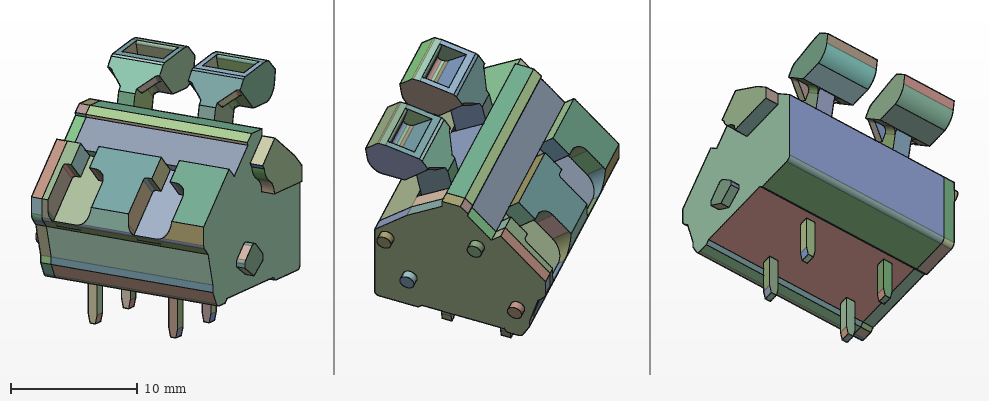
import cadquery as cq
import math


pole_count = 2
pitch = 7.5
first_pole_x = 3.18
cover_thickness = 1.0
housing_length = 15.05
housing_end_x = cover_thickness + housing_length
pole_centres = [first_pole_x + i * pitch for i in range(pole_count)]

depth = 14.53
top_z = 13.0
foot_height = 0.3
rear_foot_y = 10.82
front_foot_y = 3.22
nose_top = 7.1
nose_bottom = 5.39
ridge_rise = 3.82
ridge_z = nose_top + ridge_rise
groove_step = 0.78
groove_y = ridge_rise + groove_step
groove_z = ridge_z - groove_step
lip_z = 12.18
lip_y = groove_y + lip_z - groove_z
lip_overhang = 0.06
lip_height = 0.25
top_front_y = 7.25
top_rear_y = 8.81
shoulder_z = 12.43
knee_y = 11.79
knee_z = 10.24
back_top_z = 7.55
corner_radius = 0.41
shin_y = 1.38
shin_bottom_z = 1.35
shin_top_z = 1.96
undercut_y = 0.66
undercut_z = 4.66
toe_y = 2.05
toe_radius = 0.52
housing_nose_radius = 0.41
cover_nose_radius = 0.9


def block_profile(x_start, length, nose_radius):
    """Extrude the side outline along X and round its lower corners and nose."""
    outline = [
        (depth, 0),
        (rear_foot_y, 0),
        (rear_foot_y - foot_height, foot_height),
        (front_foot_y + foot_height, foot_height),
        (front_foot_y, 0),
        (toe_y, 0),
        (shin_y, shin_bottom_z),
        (shin_y, shin_top_z),
        (undercut_y, undercut_z),
        (0, nose_bottom),
        (0, nose_top),
        (ridge_rise, ridge_z),
        (groove_y, groove_z),
        (lip_y, lip_z),
        (lip_y - lip_overhang, lip_z + lip_height),
        (top_front_y, top_z),
        (top_rear_y, top_z),
        (top_rear_y, shoulder_z),
        (knee_y, knee_z),
        (depth, back_top_z),
    ]
    block = cq.Workplane("YZ", origin=(x_start, 0, 0)).polyline(outline).close().extrude(length)
    rounded_corners = [(depth, 0, corner_radius), (toe_y, 0, toe_radius), (0, nose_bottom, nose_radius)]
    for y, z, radius in rounded_corners:
        corner = cq.selectors.NearestToPointSelector((x_start + length / 2, y, z))
        block = block.edges("|X").edges(corner).fillet(radius)
    return block


peg_radius = 0.6
peg_length = 0.68
peg_centres = [(5.8, 9.02), (13.48, 7.1), (11.52, 3.26), (2.37, 3.26)]


def make_cover():
    """End plate with four round pegs on its outer face."""
    plate = block_profile(0, cover_thickness, cover_nose_radius)
    pegs = cq.Workplane("YZ").pushPoints(peg_centres).circle(peg_radius).extrude(-peg_length)
    return plate.union(pegs)


entry_depth = 1.96
entry_left = -1.63
entry_right = 2.41
entry_bottom = -1.18
entry_top = 3.4
entry_radii = {"top_left": 0.25, "top_right": 1.2, "bottom_left": 0.55, "bottom_right": 1.45}
release_left = -0.95
release_right = 0.75
release_top = ridge_rise * math.sqrt(2)

lever_slot_width = 1.95
lever_slot_depth = 0.41

stop_length = 1.18
stop_front_y = 6.98
stop_rear_y = 12.92
stop_bottom_z = 7.82
stop_throat_top = (7.22, 10.25)
stop_throat_middle = (8.05, 9.05)
key_length = 0.78
key_centre_y = 6.3
key_half_width = 1.36
key_shoulder_z = 3.1
key_waist_z = 2.58
key_bottom_z = 1.6
key_radius = 0.41


def rear_slope_z(y):
    """Height of the rear slopes at a given Y."""
    if y < knee_y:
        return shoulder_z + (y - top_rear_y) * (knee_z - shoulder_z) / (knee_y - top_rear_y)
    return knee_z + (y - knee_y) * (back_top_z - knee_z) / (depth - knee_y)


def make_entry(pole_x):
    """Wire entry and release slot, cut square to the 45 degree slope."""
    slope = cq.Plane(origin=(pole_x, 0, nose_top), xDir=(1, 0, 0), normal=(0, -1, 1))
    width = entry_right - entry_left
    height = entry_top - entry_bottom
    middle_x = (entry_left + entry_right) / 2
    middle_t = (entry_bottom + entry_top) / 2
    entry = cq.Workplane(slope).center(middle_x, middle_t).rect(width, height).extrude(-entry_depth)
    corners = {
        "top_left": (entry_left, entry_top),
        "top_right": (entry_right, entry_top),
        "bottom_left": (entry_left, entry_bottom),
        "bottom_right": (entry_right, entry_bottom),
    }
    for name, (x, t) in corners.items():
        middle = slope.toWorldCoords((x, t, -entry_depth / 2)).toTuple()
        entry = entry.edges(cq.selectors.NearestToPointSelector(middle)).fillet(entry_radii[name])
    release = (
        cq.Workplane(slope)
        .center((release_left + release_right) / 2, (middle_t + release_top) / 2)
        .rect(release_right - release_left, release_top - middle_t)
        .extrude(-entry_depth)
    )
    return entry.union(release)


def make_lever_slot(pole_x):
    """Shallow slot in the upper rear slope with its floor parallel to the slope."""
    floor_front = shoulder_z - lever_slot_depth
    floor_rear = knee_z - lever_slot_depth
    return (
        cq.Workplane("YZ", origin=(pole_x - lever_slot_width / 2, 0, 0))
        .polyline([(top_rear_y, floor_front), (knee_y, floor_rear), (knee_y, top_z), (top_rear_y, top_z)])
        .close()
        .extrude(lever_slot_width)
    )


def make_stop():
    """Large boss whose rear follows the rear slopes and whose front has an S curve."""
    stop_front_z = shoulder_z - (top_rear_y - stop_front_y)
    return (
        cq.Workplane("YZ", origin=(housing_end_x, 0, 0))
        .moveTo(stop_rear_y, stop_bottom_z)
        .lineTo(stop_rear_y, rear_slope_z(stop_rear_y))
        .lineTo(knee_y, knee_z)
        .lineTo(top_rear_y, shoulder_z)
        .lineTo(stop_front_y, stop_front_z)
        .lineTo(*stop_throat_top)
        .threePointArc((7.5, 9.55), stop_throat_middle)
        .threePointArc((8.55, 8.55), (8.73, stop_bottom_z))
        .close()
        .extrude(stop_length)
    )


def make_key():
    """Small hexagonal boss, rounded at its apex and upper side corners."""
    apex_z = key_shoulder_z + key_half_width
    outline = [
        (0, apex_z),
        (-key_half_width, key_shoulder_z),
        (-key_half_width, key_waist_z),
        (0, key_bottom_z),
        (key_half_width, key_waist_z),
        (key_half_width, key_shoulder_z),
    ]
    face = cq.Workplane("YZ", origin=(housing_end_x, key_centre_y, 0))
    key = face.polyline(outline).close().extrude(key_length)
    for y, z in [outline[0], outline[1], outline[-1]]:
        corner = (housing_end_x + key_length / 2, key_centre_y + y, z)
        key = key.edges(cq.selectors.NearestToPointSelector(corner)).fillet(key_radius)
    return key


def make_housing():
    """Main block with its bosses, wire entries and lever slots."""
    housing = block_profile(cover_thickness, housing_length, housing_nose_radius)
    housing = housing.union(make_stop()).union(make_key())
    for pole_x in pole_centres:
        housing = housing.cut(make_entry(pole_x)).cut(make_lever_slot(pole_x))
    return housing


head_width = 4.83
stem_width = 1.53
stem_foot_front_y = 8.83
stem_foot_rear_y = 11.43
stem_top_rear = (12.12, 13.52)
lever_top_z = 16.75
brow_steepness = 1.44
brow_top = (10.25, 15.38)
brow_crest_z = 16.15
gusset_bottom_z = 14.25
brow_bottom_z = 13.91
heel = (12.25, 13.37)
gusset_width = 4.33
gusset_thickness = 0.95
gusset_fillet = 0.3
web_radius = 0.5
pocket_width = 3.84
pocket_rear_y = 13.9
pocket_front_y = 11.62
pocket_floor_z = 14.95
crown = (14.53, lever_top_z)
crown_radius = 0.2


def brow_point(z):
    """Point (Y, Z) on the brow at a given height."""
    return (brow_top[0] + (z - brow_top[1]) / brow_steepness, z)


def make_lever_head():
    """Finger head with a rounded rear underside and an open pocket on top."""
    head = (
        cq.Workplane("YZ", origin=(-head_width / 2, 0, 0))
        .moveTo(*brow_top)
        .lineTo(*brow_point(brow_crest_z))
        .lineTo(11.02, 16.28)
        .lineTo(pocket_rear_y, lever_top_z)
        .lineTo(*crown)
        .lineTo(15.6, 15.73)
        .lineTo(15.45, 14.74)
        .threePointArc((15.1, 13.9), (14.32, heel[1]))
        .lineTo(*heel)
        .close()
        .extrude(head_width)
        .edges(cq.selectors.NearestToPointSelector((0, *crown)))
        .fillet(crown_radius)
    )
    pocket = (
        cq.Workplane("YZ", origin=(-pocket_width / 2, 0, 0))
        .moveTo(pocket_front_y, 16.39)
        .lineTo(13.13, 15.1)
        .threePointArc((13.3, 15.0), (13.45, pocket_floor_z))
        .lineTo(13.73, pocket_floor_z)
        .threePointArc((13.95, 15.05), (14.05, 15.27))
        .lineTo(13.75, 16.47)
        .threePointArc((13.77, 16.65), (pocket_rear_y, lever_top_z))
        .close()
        .extrude(pocket_width)
    )
    return head.cut(pocket)


def make_lever_stem():
    """Narrow stem that stands on the floor of the lever slot."""
    foot_front_z = rear_slope_z(stem_foot_front_y) - lever_slot_depth
    foot_rear_z = rear_slope_z(stem_foot_rear_y) - lever_slot_depth
    outline = [
        brow_top,
        brow_point(brow_bottom_z),
        (stem_foot_front_y, foot_front_z),
        (stem_foot_rear_y, foot_rear_z),
        stem_top_rear,
    ]
    return (
        cq.Workplane("YZ", origin=(-stem_width / 2, 0, 0)).polyline(outline).close().extrude(stem_width)
    )


def make_gusset():
    """Tapered plate that spreads the stem out to the width of the head."""
    gusset_bottom = brow_point(gusset_bottom_z)
    gusset_length = math.dist(gusset_bottom, brow_top)
    brow = cq.Plane(origin=(0, *gusset_bottom), xDir=(1, 0, 0), normal=(0, -brow_steepness, 1))
    outline = [
        (-stem_width / 2, 0),
        (stem_width / 2, 0),
        (gusset_width / 2, gusset_length),
        (-gusset_width / 2, gusset_length),
    ]
    return cq.Workplane(brow).polyline(outline).close().extrude(-gusset_thickness)


def make_web():
    """Concave blends between both sides of the stem and the underside of the head."""
    run_y = brow_top[0] - heel[0]
    run_z = brow_top[1] - heel[1]
    across = cq.Plane(origin=(0, *heel), xDir=(1, 0, 0), normal=(0, run_y, run_z))
    web_length = math.hypot(run_y, run_z) - gusset_thickness
    side = stem_width / 2
    bend = web_radius * (1 - math.sqrt(0.5))
    blend = (
        cq.Workplane(across)
        .moveTo(side, 0)
        .lineTo(side + web_radius, 0)
        .threePointArc((side + bend, -bend), (side, -web_radius))
        .close()
        .extrude(web_length)
    )
    return blend.union(blend.mirror("YZ"))


def make_lever(pole_x):
    """Operating lever of one pole."""
    lever = make_lever_head().union(make_lever_stem()).union(make_gusset())
    root_y = brow_top[0] + gusset_thickness / 2 * math.sqrt(0.5)
    root_z = brow_top[1] - gusset_thickness / 2 * math.sqrt(0.5)
    for root_x in (-gusset_width / 2, gusset_width / 2):
        root = cq.selectors.NearestToPointSelector((root_x, root_y, root_z))
        lever = lever.edges(root).fillet(gusset_fillet)
    return lever.union(make_web()).translate((pole_x, 0, 0))


pin_size = 0.83
pin_tip_width = 0.5
pin_tip_z = -3.88
pin_taper_z = -3.12
pin_rows = [4.5, 9.52]


def make_pin(pole_x, row_y):
    """Square pin hanging from the underside, tapered across X at its tip."""
    half = pin_size / 2
    tip = pin_tip_width / 2
    outline = [
        (-half, foot_height),
        (half, foot_height),
        (half, pin_taper_z),
        (tip, pin_tip_z),
        (-tip, pin_tip_z),
        (-half, pin_taper_z),
    ]
    return (
        cq.Workplane("XZ", origin=(pole_x, row_y + half, 0)).polyline(outline).close().extrude(pin_size)
    )


cover = make_cover()
housing = make_housing()
levers = [make_lever(pole_x) for pole_x in pole_centres]
pins = [make_pin(pole_x, row_y) for pole_x in pole_centres for row_y in pin_rows]

result = cq.Compound.makeCompound(
    [cover.val(), housing.val(), *[lever.val() for lever in levers], *[pin.val() for pin in pins]]
)